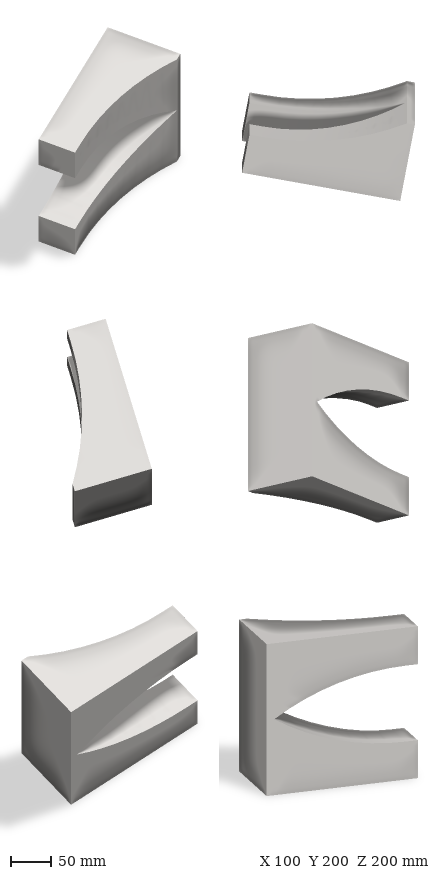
import cadquery as cq
import math

length = 200.0
height = 200.0
leg_size = 50.0
width = 2 * leg_size
back_thickness = 10.0
straight_tip = 16.0

rise = width - leg_size
run = length - back_thickness - straight_tip
radius = (rise**2 + run**2) / (2 * rise)
half_angle = math.atan2(rise, run)
arc_end_y = straight_tip + run
mid_run = radius * math.sin(half_angle)
mid_rise = radius * (1 - math.cos(half_angle))
arc_mid_y = straight_tip + mid_run


def make_side_profile():
    """Flaring outline in XY, extruded over the full height."""
    return (
        cq.Workplane("XY")
        .moveTo(0, 0)
        .lineTo(leg_size, 0)
        .lineTo(leg_size, straight_tip)
        .threePointArc((leg_size + mid_rise, arc_mid_y), (width, arc_end_y))
        .lineTo(width, length)
        .lineTo(0, length)
        .close()
        .extrude(height)
    )


def make_pointed_opening():
    """Pointed-arch opening between the legs, passing through along X."""
    lower = leg_size
    upper = height - leg_size
    return (
        cq.Workplane("YZ")
        .moveTo(0, lower)
        .lineTo(straight_tip, lower)
        .threePointArc((arc_mid_y, lower + mid_rise), (arc_end_y, height / 2))
        .threePointArc((arc_mid_y, upper - mid_rise), (straight_tip, upper))
        .lineTo(0, upper)
        .close()
        .extrude(width)
    )


result = make_side_profile().cut(make_pointed_opening())